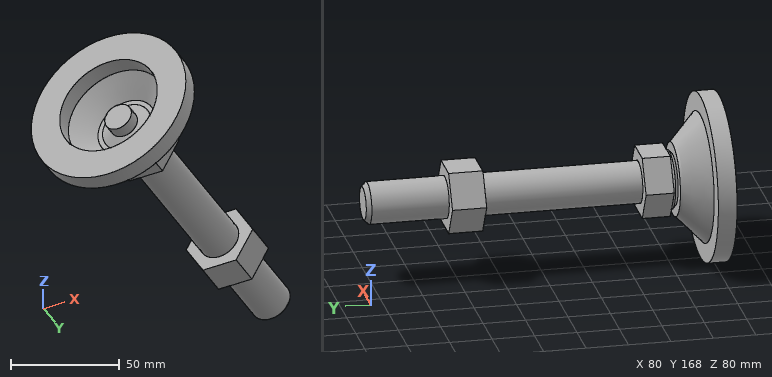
import cadquery as cq
import math

total_length = 168.0

foot_radius = 80.0 / 2
plate_thickness = 8.9
foot_height = 22.0
cone_base_radius = 30.7
cone_top_radius = 18.3
lip_height = 1.2
lip_top_radius = 17.5
cavity_radius = 25.2
ceiling_radius = 14.8
ceiling_height = 18.5
seat_hole_radius = 12.5

rod_radius = 20.0 / 2
rod_chamfer = 2.2
collar_radius = 14.0
pin_radius = 6.9
pin_top = 16.0
pin_bottom = 9.7

nut_across_flats = 29.9
lower_nut_bottom = 24.9
lower_nut_height = 13.3
upper_nut_bottom = 113.2
upper_nut_height = 16.1

collar_middle = foot_height + collar_radius - seat_hole_radius
collar_top_radius = collar_radius - (lower_nut_bottom - collar_middle)


def revolve_about_y(profile):
    """Turn a closed (radius, y) outline into a solid around the Y axis."""
    return cq.Workplane("XY").polyline(profile).close().revolve(360, (0, 0), (0, 1))


def make_foot():
    """Flanged conical foot, hollow below, with a seat hole for the spindle."""
    return revolve_about_y([
        (cavity_radius, 0),
        (foot_radius, 0),
        (foot_radius, plate_thickness),
        (cone_base_radius, plate_thickness),
        (cone_top_radius, foot_height - lip_height),
        (lip_top_radius, foot_height),
        (seat_hole_radius, foot_height),
        (seat_hole_radius, ceiling_height),
        (ceiling_radius, ceiling_height),
        (cavity_radius, plate_thickness),
    ])


def make_spindle():
    """Rod with a chamfered end, the collar below the nut, the neck and the guide pin."""
    return revolve_about_y([
        (0, pin_bottom),
        (pin_radius, pin_bottom),
        (pin_radius, pin_top),
        (seat_hole_radius, ceiling_height),
        (seat_hole_radius, foot_height),
        (collar_radius, collar_middle),
        (collar_top_radius, lower_nut_bottom),
        (rod_radius, lower_nut_bottom),
        (rod_radius, total_length - rod_chamfer),
        (rod_radius - rod_chamfer, total_length),
        (0, total_length),
    ])


def make_nut(bottom, height):
    """Hexagon nut around the rod, with two corners on the X axis."""
    across_corners = nut_across_flats / math.cos(math.radians(30))
    return (
        cq.Workplane("XZ", origin=(0, bottom, 0))
        .polygon(6, across_corners)
        .circle(rod_radius)
        .extrude(-height)
    )


foot = make_foot()
spindle = make_spindle()
nut_positions = [
    (lower_nut_bottom, lower_nut_height),
    (upper_nut_bottom, upper_nut_height),
]
nuts = [make_nut(bottom, height).val() for bottom, height in nut_positions]

result = cq.Compound.makeCompound([foot.val(), spindle.val(), *nuts])